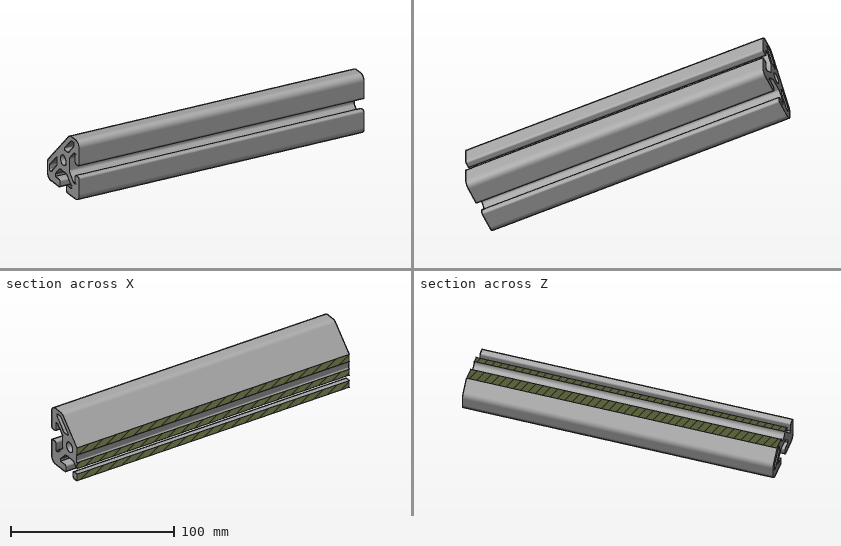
import cadquery as cq

length = 200.0
width = 40.0
half = width / 2
corner_radius = 4.5
bevel_radius = 5.0
bevel_offset = 12.0

bore_diameter = 6.8

slot_opening_half = 3.8
slot_half_width = 10.0
slot_floor = 7.5
slot_wall_top = 13.2
lip_thickness = 5.0
lip_inner = half - lip_thickness
slot_floor_half = slot_half_width - (slot_wall_top - slot_floor)
slot_floor_radius = 2.0
lip_radius = 1.5

pocket_outer_offset = 7.2
pocket_inner_offset = 1.5
pocket_bottom = 7.5
pocket_top = 17.2
pocket_end = 13.8
pocket_outer_radius = 2.0
pocket_radius = 0.8


def extrude_section(points):
    """Extrude a closed X-Z outline along the full length, centred on Y."""
    return cq.Workplane("XZ").polyline(points).close().extrude(length / 2, both=True)


def fillet_edge_at(body, point, radius):
    """Round the lengthwise edge passing through an X-Z point."""
    x, z = point
    return body.edges(cq.selectors.NearestToPointSelector((x, 0, z))).fillet(radius)


def mirror_across_diagonal(body):
    """Mirror a body in the section's symmetry plane x + z = 0."""
    return body.mirror(cq.Vector(1, 0, 1), (0, 0, 0))


def make_blank():
    square_corners = [(-half, -half), (half, -half), (half, half)]
    bevel_corners = [(half - bevel_offset, half), (-half, bevel_offset - half)]
    blank = extrude_section(square_corners + bevel_corners)
    for corner in square_corners:
        blank = fillet_edge_at(blank, corner, corner_radius)
    for corner in bevel_corners:
        blank = fillet_edge_at(blank, corner, bevel_radius)
    return blank


def make_slot():
    """T-slot opening through the bottom face."""
    right_side = [
        (slot_opening_half, -half),
        (slot_opening_half, -lip_inner),
        (slot_half_width, -lip_inner),
        (slot_half_width, -slot_wall_top),
        (slot_floor_half, -slot_floor),
    ]
    left_side = [(-x, z) for x, z in reversed(right_side)]
    slot = extrude_section(right_side + left_side)
    for x in (-slot_floor_half, slot_floor_half):
        slot = fillet_edge_at(slot, (x, -slot_floor), slot_floor_radius)
    return slot


def make_pocket():
    """Upper pocket, with a rounded outline."""
    outer_corner = (pocket_top - pocket_outer_offset, pocket_top)
    small_corners = [
        (pocket_bottom - pocket_outer_offset, pocket_bottom),
        (pocket_bottom - pocket_inner_offset, pocket_bottom),
        (pocket_end, pocket_end + pocket_inner_offset),
        (pocket_end, pocket_top),
    ]
    pocket = extrude_section(small_corners + [outer_corner])
    pocket = fillet_edge_at(pocket, outer_corner, pocket_outer_radius)
    for corner in small_corners:
        pocket = fillet_edge_at(pocket, corner, pocket_radius)
    return pocket


body = make_blank()
for cutter in (make_slot(), make_pocket()):
    body = body.cut(cutter).cut(mirror_across_diagonal(cutter))

for across in (-slot_opening_half, slot_opening_half):
    for depth in (half, lip_inner):
        body = fillet_edge_at(body, (across, -depth), lip_radius)
        body = fillet_edge_at(body, (depth, across), lip_radius)

bore = cq.Workplane("XZ").circle(bore_diameter / 2).extrude(length / 2, both=True)
result = body.cut(bore)